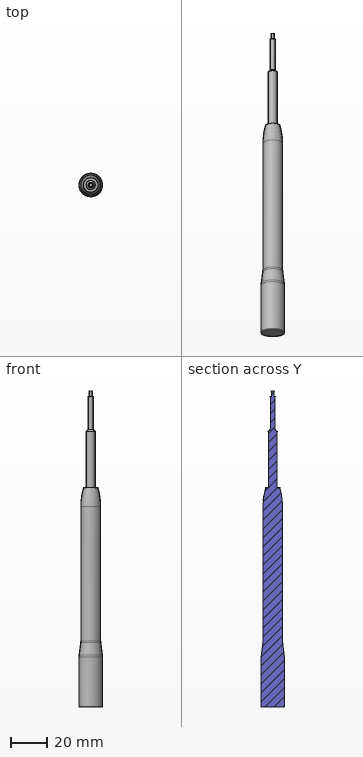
import cadquery as cq
import math

GRIP_R = 6.5
BODY_R = 5.5
NOSE_R = 4.0
SHANK_R = 2.5
BLADE_R = 1.5
TIP_R = 0.9

TOTAL_LENGTH = 174.3
TIP_LENGTH = 3.2
BLADE_LENGTH = 18.1
FLARE_BOTTOM_Z = 28.2
FLARE_TOP_Z = 36.1
NOSE_BOTTOM_Z = 110.6
NOSE_TOP_Z = 120.9

BOTTOM_FILLET = 0.5
FLARE_BLEND_R = 8.0

blade_top_z = TOTAL_LENGTH - TIP_LENGTH
shank_taper_top_z = blade_top_z - BLADE_LENGTH
shank_taper_height = SHANK_R - BLADE_R
shank_top_z = shank_taper_top_z - shank_taper_height


def nose_mid_point():
    """Middle of the nose arc, which starts tangent to the cylindrical body."""
    height = NOSE_TOP_Z - NOSE_BOTTOM_Z
    inset = BODY_R - NOSE_R
    arc_r = (height**2 + inset**2) / (2 * inset)
    half_angle = math.asin(height / arc_r) / 2
    radius = BODY_R - arc_r * (1 - math.cos(half_angle))
    return radius, NOSE_BOTTOM_Z + arc_r * math.sin(half_angle)


def flare_points():
    """Ends and middles of the two blends where the flare meets grip and body."""
    slope = math.atan((GRIP_R - BODY_R) / (FLARE_TOP_Z - FLARE_BOTTOM_Z))
    tangent = FLARE_BLEND_R * math.tan(slope / 2)
    end_in = tangent * math.sin(slope)
    end_up = tangent * math.cos(slope)
    mid_in = FLARE_BLEND_R * (1 - math.cos(slope / 2))
    mid_up = FLARE_BLEND_R * math.sin(slope / 2) - tangent
    lower_blend = [
        (GRIP_R, FLARE_BOTTOM_Z - tangent),
        (GRIP_R - mid_in, FLARE_BOTTOM_Z + mid_up),
        (GRIP_R - end_in, FLARE_BOTTOM_Z + end_up),
    ]
    upper_blend = [
        (BODY_R + end_in, FLARE_TOP_Z - end_up),
        (BODY_R + mid_in, FLARE_TOP_Z - mid_up),
        (BODY_R, FLARE_TOP_Z + tangent),
    ]
    return lower_blend, upper_blend


def screwdriver():
    """Turn the half outline about Z and round the bottom edge."""
    lower_blend, upper_blend = flare_points()
    half_outline = (
        cq.Workplane("XZ")
        .moveTo(0, 0)
        .lineTo(GRIP_R, 0)
        .lineTo(*lower_blend[0])
        .threePointArc(*lower_blend[1:])
        .lineTo(*upper_blend[0])
        .threePointArc(*upper_blend[1:])
        .lineTo(BODY_R, NOSE_BOTTOM_Z)
        .threePointArc(nose_mid_point(), (NOSE_R, NOSE_TOP_Z))
        .lineTo(SHANK_R, NOSE_TOP_Z)
        .lineTo(SHANK_R, shank_top_z)
        .lineTo(BLADE_R, shank_taper_top_z)
        .lineTo(BLADE_R, blade_top_z)
        .lineTo(TIP_R, blade_top_z)
        .lineTo(TIP_R, TOTAL_LENGTH)
        .lineTo(0, TOTAL_LENGTH)
        .close()
    )
    solid = half_outline.revolve(360, (0, 0, 0), (0, 1, 0))
    return solid.faces("<Z").edges().fillet(BOTTOM_FILLET)


result = screwdriver()